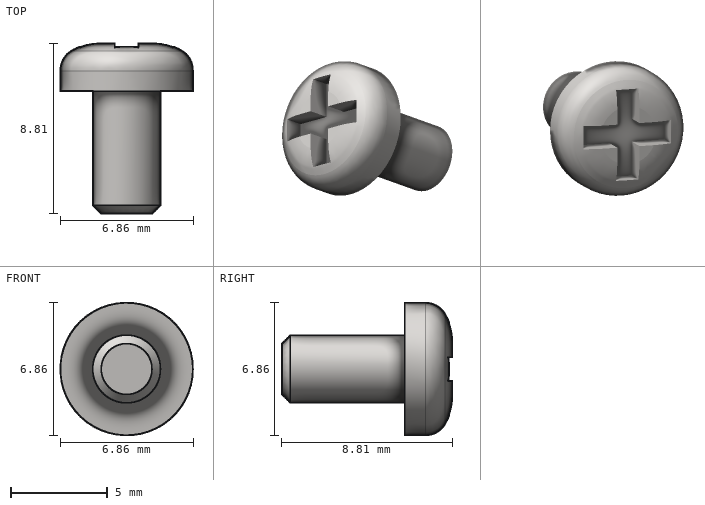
import cadquery as cq

total_length = 8.81
head_diameter = 6.86
head_height = 2.47
rim_height = 1.06
shank_diameter = 3.51
tip_chamfer = 0.44

shoulder_radius = 2.855
shoulder_drop = 0.39
flat_top_radius = 1.52

recess_span = 4.79
recess_width = 1.22
recess_depth = 1.23

shank_length = total_length - head_height
tip_y = -total_length / 2
seat_y = tip_y + shank_length
rim_y = seat_y + rim_height
top_y = total_length / 2


def make_shank():
    """Cylindrical shank with a chamfered tip."""
    shank = (
        cq.Workplane("XZ", origin=(0, seat_y, 0))
        .circle(shank_diameter / 2)
        .extrude(shank_length)
    )
    return shank.faces("<Y").chamfer(tip_chamfer)


def make_head():
    """Pan head revolved from a half profile with two tangent crown arcs."""
    head_radius = head_diameter / 2
    return (
        cq.Workplane("XY")
        .moveTo(0, seat_y)
        .lineTo(head_radius, seat_y)
        .lineTo(head_radius, rim_y)
        .tangentArcPoint((shoulder_radius, top_y - shoulder_drop), relative=False)
        .tangentArcPoint((flat_top_radius, top_y), relative=False)
        .lineTo(0, top_y)
        .close()
        .revolve(360, (0, 0, 0), (0, 1, 0))
    )


def make_recess():
    """Two crossed bars to cut into the crown, aligned with X and Z."""
    top_plane = cq.Workplane("XZ", origin=(0, top_y, 0))
    bar_along_x = top_plane.rect(recess_span, recess_width).extrude(recess_depth)
    bar_along_z = top_plane.rect(recess_width, recess_span).extrude(recess_depth)
    return bar_along_x.union(bar_along_z)


result = make_head().union(make_shank()).cut(make_recess())